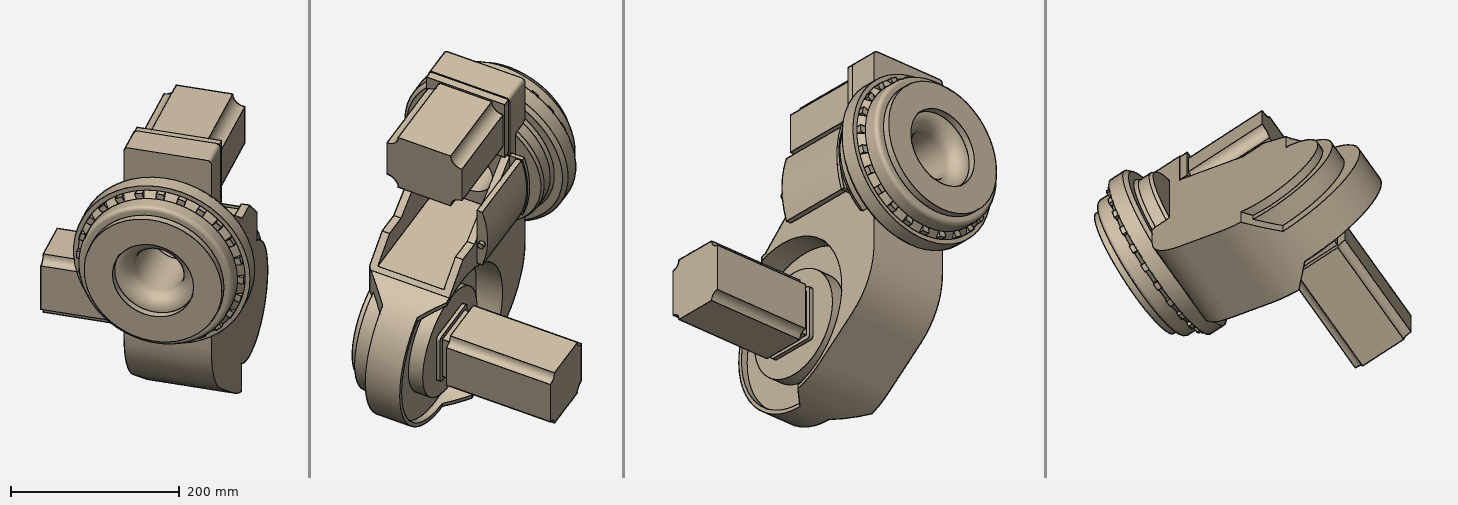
import cadquery as cq
import math


HALF_WIDTH = 54.0
TOP_Z = 140.0
TOP_CORNER_RADIUS = 5.0
PLATE_THICKNESS = 39.0
SADDLE_FRONT_Z = 47.0
SADDLE_Z = -20.0
SADDLE_Y = (130.0, 160.0)
SHOULDER_Y = 195.5
FRONT_BEND_Z = -127.0
FRONT_BEND_RADIUS = 95.0
NOTCH_HALF_WIDTH = 44.0
NOTCH_FLOOR_Z = -48.0

DRUM_Y = 163.0
DRUM_Z = -158.0
DRUM_RADIUS = 110.0
POCKET_RADIUS = 105.0
POCKET_FLOOR_X = -19.0
RIM_LEFT_X = -28.0
RIM_RIGHT_X = 18.0
UPPER_RIM_START_Y = 228.0
LOWER_RIM_START_Y = DRUM_Y
HUB_RADIUS = 70.0
HUB_FACE_X = -38.0
INNER_CAP_RADIUS = 88.0
INNER_CAP_X = 43.5
OUTER_CAP_RADIUS = 74.5

FLANGE_RADIUS = 109.0
FLANGE_FRONT_Y = -25.0
FLANGE_CHAMFER = 5.0
BOSS_RADIUS = 90.0
BOSS_LENGTH = 24.5
BOSS_CHAMFER = (2.0, 4.5)
BOSS_FLARE = (3.0, 4.5)
TOOTH_TIP_RADIUS = 103.0
TOOTH_FRONT_Y = -32.0
TOOTH_COUNT = 24
TOOTH_WIDTH = 9.6
STEP_RADIUS = 95.6
STEP_FRONT_Y = -52.5
STEP_FILLET = 5.0
FACE_RADIUS = 85.0
FACE_Y = -61.8
BORE_RADIUS = 31.0
BORE_MOUTH_RADIUS = 50.0

UPPER_FLANGE = (104.6, 86.0, 10.0)
UPPER_MOTOR = (100.0, 81.0, 106.0)
UPPER_MOTOR_Z = 95.5
UPPER_GROOVE_RADIUS = 15.0

LOWER_MOTOR = (80.0, 82.0)
LOWER_MOTOR_X = (-193.0, -HALF_WIDTH)
LOWER_NECK_INSET = 11.0
LOWER_PLATE_THICKNESS = 5.0
LOWER_PLATE_INSET = 5.2
LOWER_PLATE_CORNER = 4.5
LOWER_GROOVE_RADIUS = 10.5

COVER_CENTER_Z = 4.0
COVER_INNER_X = -62.4
COVER_EDGE_X = -69.5
COVER_CROWN = 7.1
COVER_HALF_HEIGHT = 43.0
COVER_END_Y = 140.0
COVER_LIP = 1.5
COVER_FLANGE_Y = (34.4, 39.4)
PIN_RADIUS = 4.0
PIN_LENGTH = 5.0
PIN_X = -69.5
PIN_Z = -4.0

OVERLAP = 2.0
FAR = 200.0


def x_cylinder(radius, x_start, x_end):
    """Cylinder about the drum axis."""
    plane = cq.Workplane("YZ", origin=(x_start, DRUM_Y, DRUM_Z))
    return plane.circle(radius).extrude(x_end - x_start)


def housing_blank():
    """Upright plate, saddle and drum outline as one extrusion."""
    span_y = DRUM_Y - FRONT_BEND_RADIUS
    span_z = DRUM_Z - FRONT_BEND_Z
    span = math.hypot(span_y, span_z)
    normal = math.atan2(span_z, span_y) - math.acos((FRONT_BEND_RADIUS - DRUM_RADIUS) / span)

    def on_bend(angle):
        return (
            FRONT_BEND_RADIUS + FRONT_BEND_RADIUS * math.cos(angle),
            FRONT_BEND_Z + FRONT_BEND_RADIUS * math.sin(angle),
        )

    def on_drum(angle):
        return (DRUM_Y + DRUM_RADIUS * math.cos(angle), DRUM_Z + DRUM_RADIUS * math.sin(angle))

    shoulder = math.acos((SHOULDER_Y - DRUM_Y) / DRUM_RADIUS)
    blank = (
        cq.Workplane("YZ", origin=(-HALF_WIDTH, 0, 0))
        .moveTo(0, TOP_Z)
        .lineTo(PLATE_THICKNESS, TOP_Z)
        .lineTo(PLATE_THICKNESS, SADDLE_FRONT_Z)
        .lineTo(SADDLE_Y[0], SADDLE_Z)
        .lineTo(SADDLE_Y[1], SADDLE_Z)
        .lineTo(*on_drum(shoulder))
        .threePointArc(on_drum((shoulder + normal) / 2), on_drum(normal))
        .lineTo(*on_bend(normal))
        .threePointArc(on_bend((normal - math.pi) / 2), (0, FRONT_BEND_Z))
        .close()
        .extrude(2 * HALF_WIDTH)
    )
    return blank.edges("|Y and >Z").fillet(TOP_CORNER_RADIUS)


def rim_cutter(side, rim_x):
    """45 degree trims that narrow the rear of the drum on one side (side is -1 or +1)."""
    outer = HALF_WIDTH + OVERLAP
    run = outer - abs(rim_x)

    def trim(start_y, height):
        return (
            cq.Workplane("XY", origin=(0, 0, DRUM_Z))
            .moveTo(rim_x, start_y)
            .lineTo(side * outer, start_y - run)
            .lineTo(side * outer, start_y + FAR)
            .lineTo(rim_x, start_y + FAR)
            .close()
            .extrude(height)
        )

    return trim(UPPER_RIM_START_Y, DRUM_RADIUS).union(trim(LOWER_RIM_START_Y, -DRUM_RADIUS - OVERLAP))


def housing():
    """Hollowed housing with the drum pocket, narrowed rim, hub and end caps."""
    body = housing_blank()
    body = body.cut(x_cylinder(POCKET_RADIUS, -HALF_WIDTH, POCKET_FLOOR_X))
    body = body.cut(rim_cutter(-1, RIM_LEFT_X)).cut(rim_cutter(1, RIM_RIGHT_X))
    notch = cq.Workplane("XY").box(
        2 * NOTCH_HALF_WIDTH, FAR, FAR, centered=(True, False, False)
    ).translate((0, PLATE_THICKNESS, NOTCH_FLOOR_Z))
    body = body.cut(notch)
    body = body.union(x_cylinder(HUB_RADIUS, HUB_FACE_X, POCKET_FLOOR_X + OVERLAP))
    body = body.union(x_cylinder(INNER_CAP_RADIUS, RIM_RIGHT_X - OVERLAP, INNER_CAP_X))
    return body.union(x_cylinder(OUTER_CAP_RADIUS, RIM_RIGHT_X, HALF_WIDTH))


def wheel():
    """Rear boss, flange, stepped front and conical tooth roots, revolved about Y."""
    fillet_mid = STEP_FILLET * (1 - math.sqrt(0.5))
    profile = (
        cq.Workplane("XY")
        .moveTo(0, BOSS_LENGTH)
        .lineTo(BOSS_RADIUS - BOSS_CHAMFER[0], BOSS_LENGTH)
        .lineTo(BOSS_RADIUS, BOSS_LENGTH - BOSS_CHAMFER[1])
        .lineTo(BOSS_RADIUS, BOSS_FLARE[1])
        .lineTo(BOSS_RADIUS + BOSS_FLARE[0], 0)
        .lineTo(FLANGE_RADIUS - FLANGE_CHAMFER, 0)
        .lineTo(FLANGE_RADIUS, -FLANGE_CHAMFER)
        .lineTo(FLANGE_RADIUS, FLANGE_FRONT_Y)
        .lineTo(TOOTH_TIP_RADIUS, FLANGE_FRONT_Y)
        .lineTo(STEP_RADIUS, TOOTH_FRONT_Y)
        .lineTo(STEP_RADIUS, STEP_FRONT_Y + STEP_FILLET)
        .threePointArc(
            (STEP_RADIUS - fillet_mid, STEP_FRONT_Y + fillet_mid),
            (STEP_RADIUS - STEP_FILLET, STEP_FRONT_Y),
        )
        .lineTo(FACE_RADIUS, STEP_FRONT_Y)
        .lineTo(FACE_RADIUS, FACE_Y)
        .lineTo(0, FACE_Y)
        .close()
    )
    disc = profile.revolve(360, (0, 0, 0), (0, 1, 0))
    return disc.union(teeth())


def teeth():
    """Ring of straight-sided teeth in front of the flange."""
    length = FLANGE_FRONT_Y + OVERLAP - TOOTH_FRONT_Y
    plane = cq.Workplane("XZ", origin=(0, FLANGE_FRONT_Y + OVERLAP, 0))
    ring = plane.circle(TOOTH_TIP_RADIUS).extrude(length)
    bars = (
        plane.polarArray(STEP_RADIUS, 0, 360, TOOTH_COUNT)
        .rect(2 * (FLANGE_RADIUS - STEP_RADIUS), TOOTH_WIDTH)
        .extrude(length)
    )
    return ring.intersect(bars)


def bore():
    """Through bore: straight recess at the wheel face, then a rounded throat."""
    throat = BORE_MOUTH_RADIUS - BORE_RADIUS
    mid = throat * (1 - math.sqrt(0.5))
    return (
        cq.Workplane("XY")
        .moveTo(0, FACE_Y)
        .lineTo(BORE_MOUTH_RADIUS, FACE_Y)
        .lineTo(BORE_MOUTH_RADIUS, STEP_FRONT_Y)
        .threePointArc(
            (BORE_RADIUS + mid, STEP_FRONT_Y + mid),
            (BORE_RADIUS, STEP_FRONT_Y + throat),
        )
        .lineTo(BORE_RADIUS, PLATE_THICKNESS)
        .lineTo(0, PLATE_THICKNESS)
        .close()
        .revolve(360, (0, 0, 0), (0, 1, 0))
    )


def grooved_bar(plane, width, height, length, groove_radius):
    """Rectangular motor body with a concave groove along each long edge."""
    bar = plane.rect(width, height).extrude(length)
    grooves = plane.rect(width, height, forConstruction=True).vertices().circle(groove_radius)
    return bar.cut(grooves.extrude(length))


def upper_motor():
    """Mounting flange on the rear of the upright plate with a grooved motor body."""
    flange_x, flange_z, flange_length = UPPER_FLANGE
    motor_x, motor_z, motor_length = UPPER_MOTOR
    flange = cq.Workplane("XZ", origin=(0, PLATE_THICKNESS - OVERLAP, UPPER_MOTOR_Z))
    flange = flange.rect(flange_x, flange_z).extrude(-flange_length - OVERLAP)
    motor_plane = cq.Workplane("XZ", origin=(0, PLATE_THICKNESS + flange_length, UPPER_MOTOR_Z))
    return flange.union(grooved_bar(motor_plane, motor_x, motor_z, -motor_length, UPPER_GROOVE_RADIUS))


def lower_motor():
    """Rounded mounting plate on the hub, slimmer neck and grooved motor body."""
    motor_y, motor_z = LOWER_MOTOR
    start_x, end_x = LOWER_MOTOR_X
    hub_plane = cq.Workplane("YZ", origin=(HUB_FACE_X, DRUM_Y, DRUM_Z))
    plate = hub_plane.rect(
        motor_y - 2 * LOWER_PLATE_INSET, motor_z - 2 * LOWER_PLATE_INSET
    ).extrude(-LOWER_PLATE_THICKNESS)
    plate = plate.edges("|X").fillet(LOWER_PLATE_CORNER)
    neck_y = motor_y - 2 * LOWER_NECK_INSET
    neck_z = motor_z - 2 * LOWER_NECK_INSET
    neck = hub_plane.rect(neck_y, neck_z).extrude(end_x - HUB_FACE_X)
    motor_plane = cq.Workplane("YZ", origin=(start_x, DRUM_Y, DRUM_Z))
    motor = grooved_bar(motor_plane, motor_y, motor_z, end_x - start_x, LOWER_GROOVE_RADIUS)
    return plate.union(neck).union(motor)


def crowned_slab(inner_x, edge_x, half_height, y_start, y_end):
    """Slab along Y with a flat inner side and a bulging outer side."""
    top = COVER_CENTER_Z + half_height
    bottom = COVER_CENTER_Z - half_height
    return (
        cq.Workplane("XZ", origin=(0, y_start, 0))
        .moveTo(inner_x, bottom)
        .lineTo(edge_x, bottom)
        .threePointArc((edge_x - COVER_CROWN, COVER_CENTER_Z), (edge_x, top))
        .lineTo(inner_x, top)
        .close()
        .extrude(y_start - y_end)
    )


def side_cover():
    """Crowned cover beside the housing, held by a thin flange, with a pin at its rear end."""
    flange = crowned_slab(
        OVERLAP - HALF_WIDTH, COVER_EDGE_X - COVER_LIP, COVER_HALF_HEIGHT + COVER_LIP, *COVER_FLANGE_Y
    )
    slab = crowned_slab(COVER_INNER_X, COVER_EDGE_X, COVER_HALF_HEIGHT, COVER_FLANGE_Y[0], COVER_END_Y)
    pin = cq.Workplane("XZ", origin=(PIN_X, COVER_END_Y, PIN_Z)).circle(PIN_RADIUS).extrude(-PIN_LENGTH)
    return flange.union(slab).union(pin)


result = housing().union(wheel()).cut(bore())
result = result.union(upper_motor()).union(lower_motor()).union(side_cover())